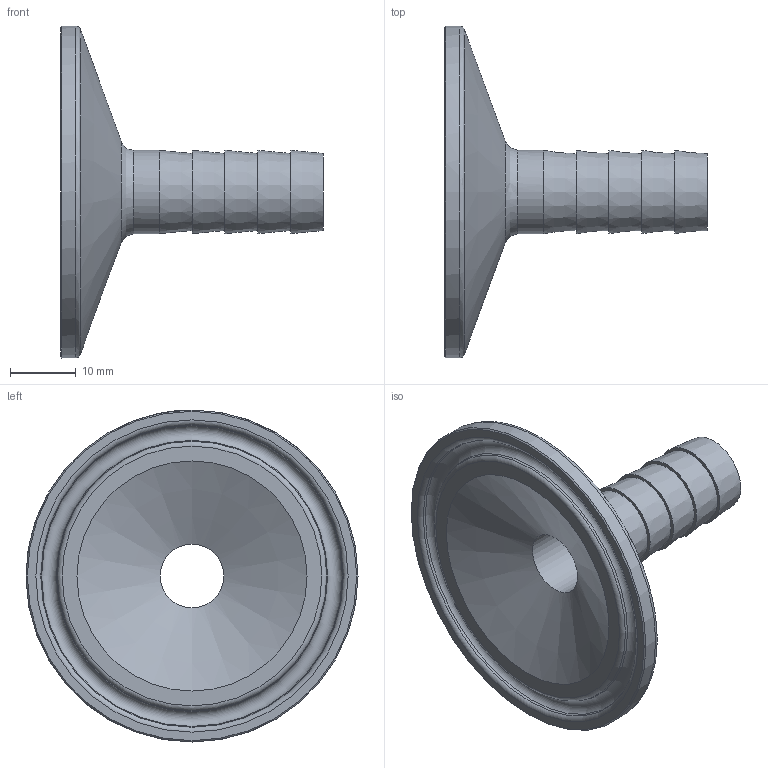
import cadquery as cq
import math


flange_radius = 50.5 / 2
rim_width = 2.85
back_angle = 20.0
rim_fillet = 0.8
face_edge_chamfer = 0.2

bore_radius = 9.7 / 2
mouth_radius = 35.0 / 2
mouth_angle = 25.0
mouth_depth = (mouth_radius - bore_radius) * math.tan(math.radians(mouth_angle))

groove_mean_radius = 43.5 / 2
groove_half_width = 2.0
groove_depth = 1.65
groove_wall_angle = 70.0
groove_lip_radius = 0.8

total_length = 40.0
tail_radius = 12.7 / 2
barb_end_radius = 11.7 / 2
barb_length = 5.0
barb_count = 5
barbs_start = total_length - barb_count * barb_length
neck_fillet = 2.0

back_cone_end = rim_width + (flange_radius - tail_radius) * math.tan(math.radians(back_angle))


def revolve_about_x(profile):
    """Revolve a closed XZ profile (X along the axis, Z the radius) a full turn."""
    full_turn = 360
    return profile.close().revolve(full_turn, (0, 0, 0), (1, 0, 0))


def ring_edge_at(axial_position):
    """Selector for the circular edges lying in the plane X = axial_position."""
    margin = 0.1
    reach = flange_radius + margin
    return cq.selectors.BoxSelector(
        (axial_position - margin, -reach, -reach),
        (axial_position + margin, reach, reach),
        boundingbox=True,
    )


def make_flange_and_neck():
    """Flange disc, back cone and plain neck, with the rim and neck rounded."""
    profile = (
        cq.Workplane("XZ")
        .lineTo(0, flange_radius - face_edge_chamfer)
        .lineTo(face_edge_chamfer, flange_radius)
        .lineTo(rim_width, flange_radius)
        .lineTo(back_cone_end, tail_radius)
        .lineTo(barbs_start, tail_radius)
        .lineTo(barbs_start, 0)
    )
    body = revolve_about_x(profile)
    body = body.edges(ring_edge_at(rim_width)).fillet(rim_fillet)
    return body.edges(ring_edge_at(back_cone_end)).fillet(neck_fillet)


def make_barbs():
    """Row of equal barbs, each tapering towards the free end."""
    profile = cq.Workplane("XZ").moveTo(barbs_start, 0)
    for index in range(barb_count):
        start = barbs_start + index * barb_length
        profile = profile.lineTo(start, tail_radius).lineTo(start + barb_length, barb_end_radius)
    return revolve_about_x(profile.lineTo(total_length, 0))


def make_bore():
    """Through bore opening into a conical mouth at the sealing face."""
    profile = (
        cq.Workplane("XZ")
        .lineTo(0, mouth_radius)
        .lineTo(mouth_depth, bore_radius)
        .lineTo(total_length, bore_radius)
        .lineTo(total_length, 0)
    )
    return revolve_about_x(profile)


def make_gasket_groove():
    """Ring groove: rounded lips, straight sloping walls and a round bottom tangent to them."""
    wall = math.radians(groove_wall_angle)
    lip_width = groove_lip_radius * math.sin(wall)
    lip_depth = groove_lip_radius * (1 - math.cos(wall))
    width_left = groove_half_width - lip_width
    depth_left = groove_depth - lip_depth
    bottom_radius = (width_left * math.tan(wall) - depth_left) / (
        math.sin(wall) * math.tan(wall) - 1 + math.cos(wall)
    )
    bottom_half_width = bottom_radius * math.sin(wall)
    wall_end_depth = groove_depth - bottom_radius * (1 - math.cos(wall))
    lip_mid_width = groove_lip_radius * math.sin(wall / 2)
    lip_mid_depth = groove_lip_radius * (1 - math.cos(wall / 2))

    outer = groove_mean_radius + groove_half_width
    inner = groove_mean_radius - groove_half_width
    profile = (
        cq.Workplane("XZ")
        .moveTo(0, outer)
        .threePointArc((lip_mid_depth, outer - lip_mid_width), (lip_depth, outer - lip_width))
        .lineTo(wall_end_depth, groove_mean_radius + bottom_half_width)
        .threePointArc(
            (groove_depth, groove_mean_radius),
            (wall_end_depth, groove_mean_radius - bottom_half_width),
        )
        .lineTo(lip_depth, inner + lip_width)
        .threePointArc((lip_mid_depth, inner + lip_mid_width), (0, inner))
    )
    return revolve_about_x(profile)


result = make_flange_and_neck().union(make_barbs()).cut(make_bore()).cut(make_gasket_groove())